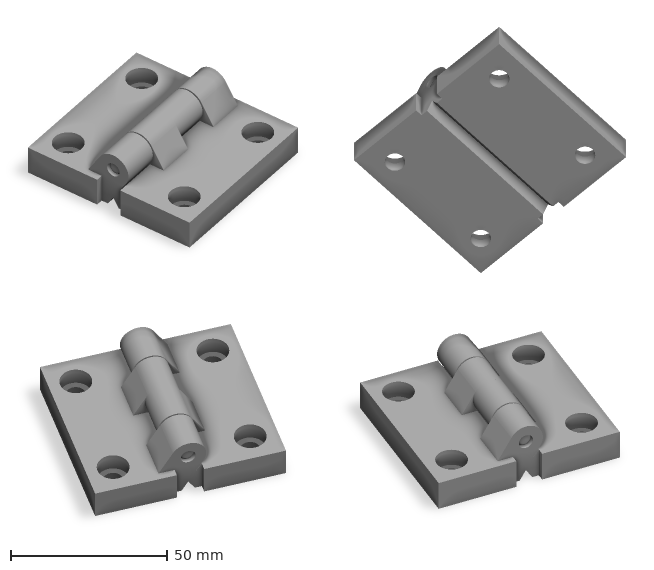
import cadquery as cq
import math

WIDTH = 64.0
LEAF_LENGTH = 59.0
LEAF_THICKNESS = 10.3
LEAF_GAP = 9.15
GAP_EDGE = LEAF_GAP / 2
LEAF_WIDTH = (WIDTH - LEAF_GAP) / 2

HOLE_DIAMETER = 6.5
COUNTERBORE_DIAMETER = 10.5
COUNTERBORE_DEPTH = 6.0
HOLE_X = 23.0
HOLE_Y = 20.0

HEIGHT = 21.0
KNUCKLE_RADIUS = 6.0
AXIS_Z = HEIGHT - KNUCKLE_RADIUS
KNUCKLE_LENGTH = 13.25
KNUCKLE_CLEARANCE = 0.5
KNUCKLES_PER_LEAF = 2
PAIR_LENGTH = 2 * KNUCKLE_LENGTH + KNUCKLE_CLEARANCE
BARREL_LENGTH = KNUCKLES_PER_LEAF * PAIR_LENGTH
BARREL_FRONT = -BARREL_LENGTH / 2

FLANK_ANGLE = math.radians(58.2)
FLANK_SLOPE = math.tan(FLANK_ANGLE)
TANGENT_X = KNUCKLE_RADIUS * math.sin(FLANK_ANGLE)
TANGENT_RISE = KNUCKLE_RADIUS * math.cos(FLANK_ANGLE)

WEB_INNER_Z = 4.3

PIN_DIAMETER = 5.0
PIN_RECESS = 1.0
PIN_LENGTH = BARREL_LENGTH - 2 * PIN_RECESS
PIN_END_FILLET = 0.95


def inner_flank_x(z):
    """X of the left knuckle's flank that faces the other leaf, at height z."""
    return TANGENT_X - (AXIS_Z - TANGENT_RISE - z) / FLANK_SLOPE


def inner_flank_z(x):
    """Height of that same flank at a given X."""
    return AXIS_Z - TANGENT_RISE - (TANGENT_X - x) * FLANK_SLOPE


def outer_flank_x(z):
    """X of the left knuckle's flank that rises from the plate, at height z."""
    return -TANGENT_X - (AXIS_Z + TANGENT_RISE - z) / FLANK_SLOPE


def profile_plane(front_y):
    """XZ plane whose extrusions start at front_y and run toward +Y."""
    return cq.Workplane("XZ", origin=(0, front_y, 0))


def left_plate():
    """Flat plate with two counterbored mounting holes."""
    center_x = -GAP_EDGE - LEAF_WIDTH / 2
    plate = cq.Workplane("XY").box(LEAF_WIDTH, LEAF_LENGTH, LEAF_THICKNESS, centered=(True, True, False))
    return (
        plate.translate((center_x, 0, 0))
        .faces(">Z")
        .workplane(origin=(0, 0, 0))
        .pushPoints([(-HOLE_X, -HOLE_Y), (-HOLE_X, HOLE_Y)])
        .cboreHole(HOLE_DIAMETER, COUNTERBORE_DIAMETER, COUNTERBORE_DEPTH)
    )


def left_web():
    """Ramp-topped strip from the plate edge to the middle plane, bevelled underneath."""
    outline = [
        (-GAP_EDGE, 0),
        (-GAP_EDGE, LEAF_THICKNESS),
        (0, WEB_INNER_Z),
        (0, inner_flank_z(0)),
        (inner_flank_x(0), 0),
    ]
    return profile_plane(BARREL_FRONT).polyline(outline).close().extrude(-BARREL_LENGTH)


def left_knuckle(front_y):
    """Round-topped lug that leans from the left plate over the pin axis."""
    return (
        profile_plane(front_y)
        .moveTo(-GAP_EDGE, 0)
        .lineTo(inner_flank_x(0), 0)
        .lineTo(TANGENT_X, AXIS_Z - TANGENT_RISE)
        .threePointArc((0, HEIGHT), (-TANGENT_X, AXIS_Z + TANGENT_RISE))
        .lineTo(outer_flank_x(LEAF_THICKNESS), LEAF_THICKNESS)
        .lineTo(-GAP_EDGE, LEAF_THICKNESS)
        .close()
        .extrude(-KNUCKLE_LENGTH)
    )


def mirrored(body):
    """The right-hand counterpart of a left-hand shape."""
    return body.mirror("YZ")


def pin_cylinder(length):
    """Cylinder of the pin's diameter on the hinge axis, centered along Y."""
    return profile_plane(-length / 2).center(0, AXIS_Z).circle(PIN_DIAMETER / 2).extrude(-length)


def make_pin():
    """Pin with rounded ends, set back from both ends of the barrel."""
    return pin_cylinder(PIN_LENGTH).faces("<Y or >Y").edges().fillet(PIN_END_FILLET)


def make_leaf(own_knuckles, other_knuckles, plate, web):
    """Join one leaf, leaving room for the other leaf's knuckles and the pin bore."""
    leaf = plate.union(web)
    for knuckle in other_knuckles:
        leaf = leaf.cut(knuckle)
    for knuckle in own_knuckles:
        leaf = leaf.union(knuckle)
    return leaf.cut(pin_cylinder(BARREL_LENGTH))


pair_fronts = [BARREL_FRONT + pair * PAIR_LENGTH for pair in range(KNUCKLES_PER_LEAF)]
left_knuckles = [left_knuckle(front) for front in pair_fronts]
right_knuckles = [mirrored(left_knuckle(front + PAIR_LENGTH - KNUCKLE_LENGTH)) for front in pair_fronts]

left_leaf = make_leaf(left_knuckles, right_knuckles, left_plate(), left_web())
right_leaf = make_leaf(right_knuckles, left_knuckles, mirrored(left_plate()), mirrored(left_web()))
pin = make_pin()

result = cq.Compound.makeCompound([left_leaf.solids().val(), right_leaf.solids().val(), pin.solids().val()])